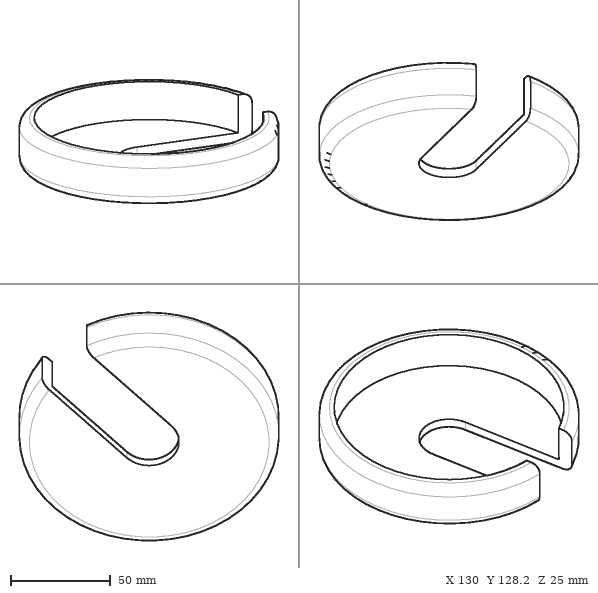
import cadquery as cq

outer_diameter = 130.0
height = 25.0
edge_radius = 5.0
rim_land = 2.5
floor_thickness = 5.0
slot_width = 30.0

outer_radius = outer_diameter / 2
recess_radius = outer_radius - edge_radius - rim_land
recess_depth = height - floor_thickness


def rounded_disc():
    """Disc standing on the XY plane with both outer edges rounded."""
    return cq.Workplane("XY").circle(outer_radius).extrude(height).edges().fillet(edge_radius)


def recess():
    """Round pocket that leaves the floor and the rim."""
    return cq.Workplane("XY").workplane(offset=floor_thickness).circle(recess_radius).extrude(recess_depth)


def open_slot():
    """Through slot from the disc axis out through the +Y side, with a round inner end."""
    round_end = cq.Workplane("XY").circle(slot_width / 2).extrude(height)
    channel = cq.Workplane("XY").box(slot_width, outer_radius, height, centered=(True, False, False))
    return round_end.union(channel)


result = rounded_disc().cut(recess()).cut(open_slot())